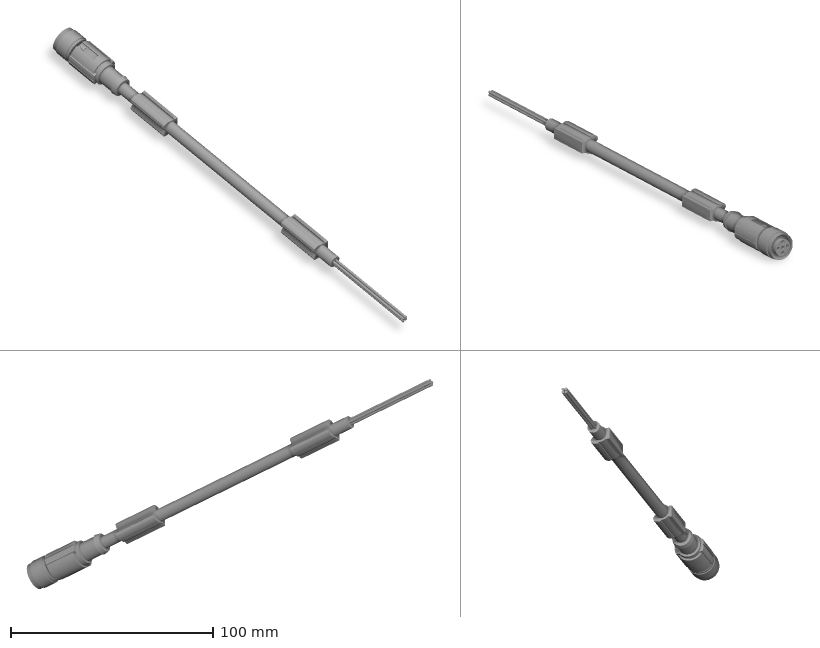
import cadquery as cq
import math

TOTAL_LENGTH = 244.0

NUT_FRONT = 1.0
NUT_RIM_RADIUS = 6.8
NUT_GRIP_START = 3.7
NUT_GRIP_END = 10.2
NUT_GRIP_RADIUS = 7.3
NUT_END = 11.5
NUT_MOUTH_RADIUS = 6.5
NUT_FLOOR_RADIUS = 5.0
NUT_MOUTH_DEPTH = 1.7

INSERT_RADIUS = 4.5
CONTACT_RADIUS = 1.0
CONTACT_CIRCLE_RADIUS = 3.0
CONTACT_DEPTH = 4.9
OUTER_CONTACT_COUNT = 4

NECK_RADIUS = 4.1
BODY_START = 12.7
BODY_END = 28.8
BODY_RADIUS = 7.0
SHOULDER_RADIUS = 6.0
SHOULDER_END = 31.7
COLLAR_RADIUS = 4.9
COLLAR_RIDGE = 40.7
COLLAR_RIDGE_RADIUS = 5.4
COLLAR_END = 43.5

GRIP_RADIUS = 7.5
GRIP_HALF_HEIGHT = 3.5
GRIP_END = 30.2
GRIP_GROOVE_WIDTH = 0.7
GRIP_GROOVE_DEPTH = 0.5

POCKET_END = 24.6
POCKET_WIDTH = 3.7
POCKET_FLOOR = 6.0
ARROW_LENGTH = 4.0
ARROW_WIDTH = 3.0
ARROW_HEIGHT = 0.5

CABLE_RADIUS = 3.2
CABLE_END = 194.1
WIRE_RADIUS = 0.68
WIRE_OFFSET_Y = 0.8
WIRE_OFFSET_Z = 0.7
WIRE_EMBED = 2.5

CLIP_STARTS = (53.7, 160.5)
CLIP_LENGTH = 23.5
CLIP_WALL_RADIUS = 4.1
CLIP_BACK_START = 3.5
CLIP_BACK_END = 5.0
CLIP_BACK_HALF_HEIGHT = 3.0
LIP_BACK = -0.5
LIP_BACK_HEIGHT = 4.6
LIP_CROWN = -2.0
LIP_CROWN_HEIGHT = 4.9
LIP_SHOULDER = -4.1
LIP_SHOULDER_HEIGHT = 4.1
LIP_TIP = -4.6
LIP_TIP_HEIGHT = 2.7
MOUTH_HALF_GAP = 0.7


def cylinder(start, end, radius, y=0.0, z=0.0):
    """Cylinder along X between two stations."""
    plane = cq.Plane(origin=(start, y, z), xDir=(0, 1, 0), normal=(1, 0, 0))
    return cq.Workplane(plane).circle(radius).extrude(end - start)


def make_turned_connector():
    profile = [
        (0, 0),
        (0, INSERT_RADIUS),
        (NUT_FRONT + NUT_MOUTH_DEPTH, INSERT_RADIUS),
        (NUT_FRONT + NUT_MOUTH_DEPTH, NUT_FLOOR_RADIUS),
        (NUT_FRONT, NUT_MOUTH_RADIUS),
        (NUT_FRONT, NUT_RIM_RADIUS),
        (NUT_GRIP_START, NUT_RIM_RADIUS),
        (NUT_GRIP_START, NUT_GRIP_RADIUS),
        (NUT_GRIP_END, NUT_GRIP_RADIUS),
        (NUT_GRIP_END, NUT_RIM_RADIUS),
        (NUT_END, NUT_RIM_RADIUS),
        (NUT_END, NECK_RADIUS),
        (BODY_START, NECK_RADIUS),
        (BODY_START, BODY_RADIUS),
        (BODY_END, BODY_RADIUS),
        (BODY_END, SHOULDER_RADIUS),
        (SHOULDER_END, SHOULDER_RADIUS),
        (SHOULDER_END, COLLAR_RADIUS),
        (COLLAR_RIDGE, COLLAR_RADIUS),
        (COLLAR_RIDGE, COLLAR_RIDGE_RADIUS),
        (COLLAR_END, COLLAR_RADIUS),
        (COLLAR_END, 0),
    ]
    return cq.Workplane("XY").polyline(profile).close().revolve(360, (0, 0, 0), (1, 0, 0))


def make_contact_holes():
    holes = cylinder(0, CONTACT_DEPTH, CONTACT_RADIUS)
    for index in range(OUTER_CONTACT_COUNT):
        angle = 2 * math.pi * index / OUTER_CONTACT_COUNT
        y = CONTACT_CIRCLE_RADIUS * math.cos(angle)
        z = CONTACT_CIRCLE_RADIUS * math.sin(angle)
        holes = holes.union(cylinder(0, CONTACT_DEPTH, CONTACT_RADIUS, y, z))
    return holes


def make_side_grips():
    """Raised bands on the +Y and -Y sides, each split by a groove along its middle."""
    length = GRIP_END - BODY_START
    middle = BODY_START + length / 2
    band = cq.Workplane("XY").box(length, 2 * GRIP_RADIUS, 2 * GRIP_HALF_HEIGHT)
    grips = cylinder(BODY_START, GRIP_END, GRIP_RADIUS).intersect(band.translate((middle, 0, 0)))
    groove = cq.Workplane("XY").box(length, 2 * GRIP_GROOVE_DEPTH, GRIP_GROOVE_WIDTH)
    for side in (-1, 1):
        grips = grips.cut(groove.translate((middle, side * GRIP_RADIUS, 0)))
    return grips


def make_pocket():
    length = POCKET_END - BODY_START
    pocket = cq.Workplane("XY").workplane(offset=POCKET_FLOOR)
    pocket = pocket.center(BODY_START + length / 2, 0).rect(length, POCKET_WIDTH)
    return pocket.extrude(GRIP_RADIUS - POCKET_FLOOR)


def make_arrow():
    """Raised triangle on the pocket floor, pointing at the nut."""
    tail = BODY_START + ARROW_LENGTH
    outline = [(BODY_START, 0), (tail, ARROW_WIDTH / 2), (tail, -ARROW_WIDTH / 2)]
    floor = cq.Workplane("XY").workplane(offset=POCKET_FLOOR)
    return floor.polyline(outline).close().extrude(ARROW_HEIGHT)


def make_clip(start):
    """C-shaped clip around the cable with a V mouth opening towards -Y."""
    wall_at_back = math.sqrt(CLIP_WALL_RADIUS**2 - CLIP_BACK_START**2)
    wall_at_lip = math.sqrt(CLIP_WALL_RADIUS**2 - LIP_BACK**2)
    mouth_root = -math.sqrt(CABLE_RADIUS**2 - MOUTH_HALF_GAP**2)
    wall_middle = CLIP_WALL_RADIUS * math.sqrt(0.5)
    half = (
        cq.Workplane("YZ", origin=(start, 0, 0))
        .moveTo(0, 0)
        .lineTo(CLIP_BACK_END, 0)
        .lineTo(CLIP_BACK_END, CLIP_BACK_HALF_HEIGHT)
        .lineTo(CLIP_BACK_START, CLIP_BACK_HALF_HEIGHT)
        .lineTo(CLIP_BACK_START, wall_at_back)
        .threePointArc((wall_middle, wall_middle), (LIP_BACK, wall_at_lip))
        .lineTo(LIP_BACK, LIP_BACK_HEIGHT)
        .threePointArc((LIP_CROWN, LIP_CROWN_HEIGHT), (LIP_SHOULDER, LIP_SHOULDER_HEIGHT))
        .lineTo(LIP_TIP, LIP_TIP_HEIGHT)
        .lineTo(mouth_root, MOUTH_HALF_GAP)
        .lineTo(0, MOUTH_HALF_GAP)
        .close()
        .extrude(CLIP_LENGTH)
    )
    return half.union(half.mirror("XY"))


def make_cable():
    cable = cylinder(SHOULDER_END, CABLE_END, CABLE_RADIUS)
    for side_y in (-1, 1):
        for side_z in (-1, 1):
            y = side_y * WIRE_OFFSET_Y
            z = side_z * WIRE_OFFSET_Z
            cable = cable.union(cylinder(CABLE_END - WIRE_EMBED, TOTAL_LENGTH, WIRE_RADIUS, y, z))
    return cable


connector = make_turned_connector().cut(make_contact_holes())
connector = connector.union(make_side_grips()).cut(make_pocket()).union(make_arrow())
result = connector.union(make_cable())
for clip_start in CLIP_STARTS:
    result = result.union(make_clip(clip_start))